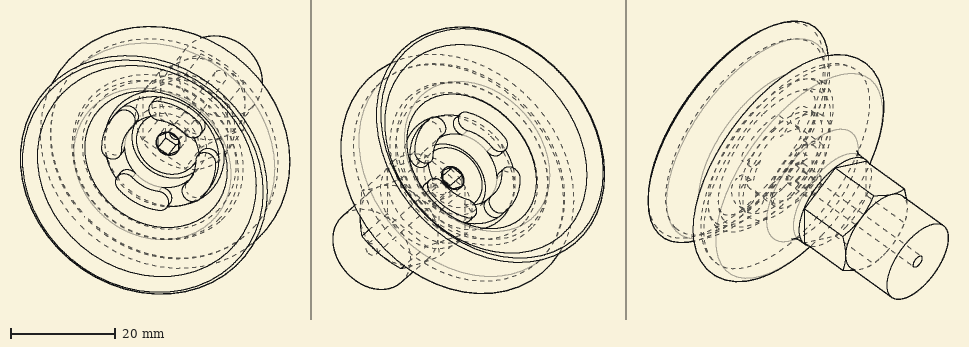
import cadquery as cq
import math


total_length = 48.5
stem_diameter = 17.0
hex_back = 37.5
hex_front = 26.5
hex_flats = stem_diameter
hex_corners = hex_flats / math.cos(math.radians(30))
hex_chamfer_angle = 30

neck_radius = 10.0
neck_front = 25.0
bulge_radius = 25.0
bulge_center = 14.0
bulge_edge_radius = 23.0
bulge_half_width = 2.85
waist_radius = 16.7
waist_center = 8.0
lip_radius = 24.9
lip_height = 0.6
mouth_radius = 24.25

throat_radius = 14.5
cavity_floor = 13.5

plate_radius = 11.5
plate_base_radius = 12.05
plate_front = 11.9
well_radius = 7.5
well_bottom = 16.5

nub_radius = 6.35
nub_front = 15.7

pad_count = 4
pad_height = 2.0
pad_start_angle = 45
pad_sweep = 45

socket_flats = 4.15
socket_depth = 5.0
socket_rim_radius = 2.4
socket_rim_depth = 0.2
passage_diameter = 2.5


def polar(radius, degrees):
    """Point at a radius and angle in the cross-section plane."""
    angle = math.radians(degrees)
    return radius * math.cos(angle), radius * math.sin(angle)


def cross_plane(y):
    """Plane across the axis at height y; extruding goes toward the mouth."""
    return cq.Workplane("XZ", origin=(0, y, 0))


def revolve(profile):
    """Close a (radius, y) profile and turn it about the Y axis."""
    return profile.close().revolve(360, (0, 0, 0), (0, 1, 0))


def cone(front_radius, front, back_radius, back):
    """Frustum along the axis between two heights."""
    points = [(0, front), (front_radius, front), (back_radius, back), (0, back)]
    return revolve(cq.Workplane("XY").polyline(points))


def hexagon(y, flats, length):
    """Hexagonal prism reaching forward from y, with two flats facing X."""
    radius = flats / 2 / math.cos(math.radians(30))
    corners = [polar(radius, 30 + 60 * i) for i in range(6)]
    return cross_plane(y).polyline(corners).close().extrude(length)


def make_bellows():
    outer = (
        cq.Workplane("XY")
        .moveTo(0, 0)
        .lineTo(mouth_radius, 0)
        .lineTo(lip_radius, lip_height)
        .lineTo(22.5, 3.2)
        .lineTo(17.4, 6.85)
        .threePointArc((waist_radius, waist_center), (17.25, 9.25))
        .lineTo(bulge_edge_radius, bulge_center - bulge_half_width)
        .threePointArc(
            (bulge_radius, bulge_center),
            (bulge_edge_radius, bulge_center + bulge_half_width),
        )
        .lineTo(12.65, 20.4)
        .threePointArc((10.7, 22.5), (neck_radius, neck_front))
        .lineTo(neck_radius, hex_front)
        .lineTo(0, hex_front)
    )
    cavity = (
        cq.Workplane("XY")
        .moveTo(0, 0)
        .lineTo(mouth_radius, 0)
        .lineTo(22.05, 2.5)
        .lineTo(15.85, 6.0)
        .threePointArc((throat_radius, waist_center), (15.5, 10.25))
        .lineTo(21.75, 11.9)
        .threePointArc((22.6, 12.5), (22.9, cavity_floor))
        .lineTo(0, cavity_floor)
    )
    return revolve(outer).cut(revolve(cavity))


def make_fitting():
    stem = cross_plane(total_length).circle(stem_diameter / 2).extrude(total_length - hex_back)
    nut = hexagon(hex_back, hex_flats, hex_back - hex_front)
    corner_rise = (hex_corners - hex_flats) / 2 * math.tan(math.radians(hex_chamfer_angle))
    chamfer_start = hex_back - corner_rise
    envelope = cone(hex_corners / 2, chamfer_start, hex_flats / 2, hex_back).union(
        cross_plane(chamfer_start).circle(hex_corners / 2).extrude(chamfer_start - hex_front)
    )
    return stem.union(nut.intersect(envelope))


def make_pad():
    middle_radius = (plate_radius + well_radius) / 2
    end_radius = (plate_radius - well_radius) / 2
    start = pad_start_angle
    middle = start + pad_sweep / 2
    end = start + pad_sweep
    end_x, end_y = polar(middle_radius, end)
    end_step_x, end_step_y = polar(end_radius, end + 90)
    start_x, start_y = polar(middle_radius, start)
    start_step_x, start_step_y = polar(end_radius, start - 90)
    return (
        cross_plane(plate_front)
        .moveTo(*polar(plate_radius, start))
        .threePointArc(polar(plate_radius, middle), polar(plate_radius, end))
        .threePointArc((end_x + end_step_x, end_y + end_step_y), polar(well_radius, end))
        .threePointArc(polar(well_radius, middle), polar(well_radius, start))
        .threePointArc((start_x + start_step_x, start_y + start_step_y), polar(plate_radius, start))
        .close()
        .extrude(pad_height)
    )


def make_plate():
    plate = cone(plate_radius, plate_front, plate_base_radius, cavity_floor)
    pad = make_pad()
    for i in range(pad_count):
        plate = plate.union(pad.rotate((0, 0, 0), (0, 1, 0), i * 360 / pad_count))
    return plate


def make_well():
    """Empty space of the well, leaving the nub on its bottom."""
    well = cross_plane(well_bottom).circle(well_radius).extrude(well_bottom - plate_front)
    return well.cut(cone(nub_radius, nub_front, well_radius, well_bottom))


def make_passage():
    hole = cross_plane(total_length).circle(passage_diameter / 2).extrude(total_length)
    socket = hexagon(nub_front + socket_depth, socket_flats, socket_depth)
    rim = cross_plane(nub_front + socket_rim_depth).circle(socket_rim_radius).extrude(socket_rim_depth)
    return hole.union(socket).union(rim)


body = make_bellows().union(make_fitting()).union(make_plate())
result = body.cut(make_well()).cut(make_passage())